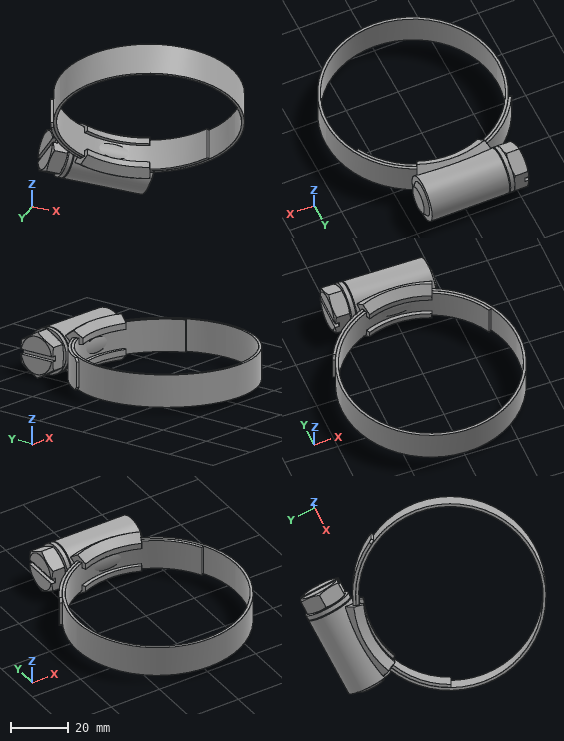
import cadquery as cq
import math

band_width = 11.95
band_thickness = 1.1
lap_gap = 0.1
loop_radius = 33.5
inner_end_angle = 27.3
outer_end_angle = 25.6
end_chamfer = 1.3

loop_shift = (band_thickness + lap_gap) / 2
lap_mid_radius = loop_radius - band_thickness / 2
inner_layer_outside = lap_mid_radius - lap_gap / 2
inner_layer_inside = inner_layer_outside - band_thickness
outer_layer_inside = lap_mid_radius + lap_gap / 2
outer_layer_outside = outer_layer_inside + band_thickness

housing_radius = 8.5
housing_length = 29.8
housing_x = 0.3
axis_y = 39.9
saddle_half_angle = 22.6
lip_inner_radius = 30.45
lip_inner_half_width = 3.7
ridge_radius = 33.9
saddle_top_radius = 36.8
saddle_top_half_width = 6.4

shaft_radius = 6.4
tail_length = 1.5
flange_gap = 0.4
flange_thickness = 1.6
head_length = 6.05
head_corner_radius = housing_radius
head_face_radius = 6.95
head_chamfer_length = 0.6
slot_width = 1.8
slot_depth = 1.6

housing_start = housing_x - housing_length / 2
housing_end = housing_x + housing_length / 2
flange_end = housing_start - flange_gap
flange_start = flange_end - flange_thickness
head_start = flange_start - head_length


def polar(radius, degrees):
    angle = math.radians(degrees)
    return (radius * math.cos(angle), radius * math.sin(angle))


def arc_strip(inner, outer, start, end, width):
    """Ring sector about Z, centred on Z = 0, between two angles in degrees."""
    middle = (start + end) / 2
    return (
        cq.Workplane("XY", origin=(0, 0, -width / 2))
        .moveTo(*polar(inner, start))
        .threePointArc(polar(inner, middle), polar(inner, end))
        .lineTo(*polar(outer, end))
        .threePointArc(polar(outer, middle), polar(outer, start))
        .close()
        .extrude(width)
    )


def make_band():
    inner_layer = arc_strip(inner_layer_inside, inner_layer_outside, inner_end_angle, 180, band_width)
    outer_layer = arc_strip(outer_layer_inside, outer_layer_outside, 0, 180 - outer_end_angle, band_width)
    tip = polar((outer_layer_inside + outer_layer_outside) / 2, 180 - outer_end_angle)
    outer_layer = (
        outer_layer.faces(cq.selectors.NearestToPointSelector((*tip, 0)))
        .edges("#Z")
        .chamfer(end_chamfer)
    )
    half_loop = arc_strip(loop_radius - band_thickness, loop_radius, 180, 360, band_width)
    return inner_layer.union(outer_layer).union(half_loop.translate((loop_shift, 0, 0)))


def make_saddle():
    profile = [
        (lip_inner_radius, lip_inner_half_width),
        (lip_inner_radius, band_width / 2),
        (ridge_radius, housing_radius),
        (saddle_top_radius, saddle_top_half_width),
        (saddle_top_radius, 0),
        (lap_mid_radius, 0),
        (lap_mid_radius, lip_inner_half_width),
    ]
    half = (
        cq.Workplane("XZ")
        .polyline(profile)
        .close()
        .revolve(2 * saddle_half_angle, (0, 0, 0), (0, 1, 0))
        .rotate((0, 0, 0), (0, 0, 1), 90 - saddle_half_angle)
        .translate((housing_x, 0, 0))
    )
    return half.union(half.mirror("XY"))


def rod(start, end, radius):
    """Cylinder on the screw axis between two X positions."""
    return cq.Workplane("YZ", origin=(start, axis_y, 0)).circle(radius).extrude(end - start)


def make_clamp():
    clamp = make_band().union(make_saddle()).union(rod(housing_start, housing_end, housing_radius))
    return clamp.cut(rod(housing_start, housing_end, shaft_radius))


def make_head():
    hexagon = (
        cq.Workplane("YZ", origin=(head_start, axis_y, 0))
        .polyline([polar(head_corner_radius, 60 * corner + 30) for corner in range(6)])
        .close()
        .extrude(head_length)
    )
    envelope = (
        cq.Workplane("XY")
        .polyline([
            (head_start, 0),
            (head_start, head_face_radius),
            (head_start + head_chamfer_length, head_corner_radius),
            (flange_start - head_chamfer_length, head_corner_radius),
            (flange_start, head_face_radius),
            (flange_start, 0),
        ])
        .close()
        .revolve(360, (0, 0, 0), (1, 0, 0))
        .translate((0, axis_y, 0))
    )
    slot = cq.Workplane("XY").box(2 * slot_depth, 2 * head_corner_radius, slot_width)
    return hexagon.intersect(envelope).cut(slot.translate((head_start, axis_y, 0)))


def make_screw():
    shaft = rod(flange_end, housing_end + tail_length, shaft_radius).faces(">X").chamfer(tail_length)
    flange = rod(flange_start, flange_end, housing_radius)
    return shaft.union(flange).union(make_head())


clamp = make_clamp()
screw = make_screw()

result = cq.Compound.makeCompound([clamp.val(), screw.val()])